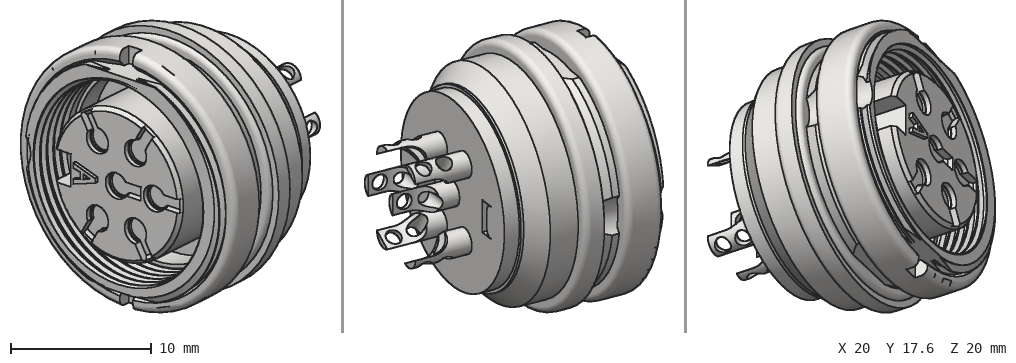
import cadquery as cq
import math


sleeve_radius = 9.0
relief_radius = 8.7
relief_start = 4.32
flat_height = 8.42
lip_start = 5.2
lip_radius = 9.45
lip_round = 0.38
flange_start = 5.6
flange_end = 7.18
flange_radius = 10.0
edge_round = 0.5
body_radius = 9.0
body_end = 9.45
shoulder_radius = 15.3 / 2
shoulder_start = 10.85
shoulder_end = 11.08
rear_radius = 14.8 / 2
rear_end = 12.3
key_groove_radius = 2.0
key_groove_depth = 0.8

thread_pitch = 0.75
outer_thread_root = 8.52
outer_thread_length = 1.1
bore_radius = 15.3 / 2
bore_thread_root = 7.95
bore_thread_length = 3.7
bore_length = 4.0
cavity_radius = 14.7 / 2
cavity_depth = 6.0

nut_start = 0.75
nut_end = 3.75
nut_radius = 10.0
nut_bore = 8.65
nut_mouth = 18.3 / 2
slot_width = 1.2
slot_depth = 1.0

insert_radius = 5.9
insert_face = -0.38
insert_bevel = 0.3
keyway_floor = -4.22
keyway_width = 2.55
key_tip = -4.9
key_round = 0.55

contact_circle = 3.5
contact_angles = (0, 60, 120, 240, 300)
socket_radius = 1.0
socket_step = 0.1
rim_depth = 0.4
socket_depth = 0.6
relief_slot_width = 1.05
relief_slot_top = 2.22
relief_slot_bottom = 1.95
pin_radius = 1.0
pin_end = 16.92
cup_wall_offset = 0.5
cup_round = 1.5
cup_straight_end = 15.45
wire_hole_diameter = 1.2
wire_hole_stations = (14.28, 15.95)

letter_height = 0.3


def revolve_profile(points):
    """Revolve (radius, y) points around the Y axis."""
    return cq.Workplane("XY").polyline(points).close().revolve(360, (0, 0), (0, 1))


def cylinder(radius, start, end, x=0.0, z=0.0):
    """Cylinder parallel to Y."""
    plane = cq.Plane((x, start, z), xDir=(1, 0, 0), normal=(0, 1, 0))
    return cq.Workplane(plane).circle(radius).extrude(end - start)


def block(x_range, y_range, z_range):
    """Box between the given limits."""
    ranges = (x_range, y_range, z_range)
    size = [high - low for low, high in ranges]
    corner = [low for low, high in ranges]
    return cq.Workplane("XY").box(*size, centered=False).translate(tuple(corner))


def thread_groove(crest, root, length, start_angle):
    """Helical V groove from one pitch ahead of the mouth to the given depth."""
    overlap = 0.05 if crest > root else -0.05
    half_root = 0.15 * thread_pitch
    half_crest = 0.46 * thread_pitch
    path = cq.Wire.makeHelix(thread_pitch, length + thread_pitch, root)
    groove = (
        cq.Workplane("XZ")
        .polyline([
            (root, -half_root),
            (crest + overlap, -half_crest),
            (crest + overlap, half_crest),
            (root, half_root),
        ])
        .close()
        .sweep(cq.Workplane(path), isFrenet=True)
    )
    along_y = groove.rotate((0, 0, 0), (1, 0, 0), -90)
    return along_y.rotate((0, 0, 0), (0, 1, 0), start_angle).translate((0, -thread_pitch, 0))


def make_sleeve():
    """Hollow front sleeve, threaded outside and inside."""
    sleeve = revolve_profile([
        (bore_radius, 0), (sleeve_radius, 0), (sleeve_radius, relief_start),
        (relief_radius, lip_start), (relief_radius, flange_start),
        (cavity_radius, flange_start), (cavity_radius, bore_length), (bore_radius, bore_length),
    ])
    flats = block(
        (-sleeve_radius, sleeve_radius), (0, flange_start), (-flat_height, flat_height)
    )
    groove_x = -sleeve_radius + key_groove_depth - key_groove_radius
    sleeve = sleeve.intersect(flats).cut(cylinder(key_groove_radius, 0, flange_start, groove_x))
    outer_groove = thread_groove(sleeve_radius, outer_thread_root, outer_thread_length, 90)
    inner_groove = thread_groove(bore_radius, bore_thread_root, bore_thread_length, 180)
    return sleeve.cut(outer_groove).cut(inner_groove)


def make_housing():
    lip = cylinder(lip_radius, lip_start, flange_start).faces("<Y").edges().fillet(lip_round)
    flange = cylinder(flange_radius, flange_start, flange_end)
    flange = flange.faces(">Y").edges().fillet(edge_round)
    body = revolve_profile([
        (0, flange_start), (body_radius, flange_start), (body_radius, body_end),
        (shoulder_radius, shoulder_start), (shoulder_radius, shoulder_end),
        (rear_radius, shoulder_end), (rear_radius, rear_end), (0, rear_end),
    ])
    cavity = cylinder(cavity_radius, lip_start, cavity_depth)
    return lip.union(flange).union(body).cut(cavity)


def make_nut():
    nut = cylinder(nut_radius, nut_start, nut_end).edges().fillet(edge_round)
    bore_bevel = nut_mouth - nut_bore
    bore = revolve_profile([
        (0, nut_start), (nut_mouth, nut_start), (nut_bore, nut_start + bore_bevel),
        (nut_bore, nut_end), (0, nut_end),
    ])
    slots = block(
        (-slot_width / 2, slot_width / 2),
        (nut_start, nut_start + slot_depth),
        (-nut_radius, nut_radius),
    )
    return nut.cut(bore).cut(slots)


def make_insert():
    return cylinder(insert_radius, insert_face, cavity_depth).faces("<Y").edges().chamfer(insert_bevel)


def make_keyway():
    """Slot through the insert and housing, part filled by a rounded key behind the cavity."""
    half_width = keyway_width / 2
    keyway = block(
        (-insert_radius, keyway_floor), (insert_face, rear_end), (-half_width, half_width)
    )
    key = block((-insert_radius, key_tip), (cavity_depth, rear_end), (-half_width, half_width))
    return keyway.cut(key.edges("|Y and >X").fillet(key_round))


def make_socket():
    """Contact opening at the origin, with its relief slot pointing along +X."""
    rim = insert_face + rim_depth
    bottom = insert_face + socket_depth
    bore = revolve_profile([
        (0, insert_face), (socket_radius, insert_face), (socket_radius, rim),
        (socket_radius - socket_step, rim), (socket_radius - socket_step, bottom), (0, bottom),
    ])
    slot = (
        cq.Workplane("XY")
        .polyline([
            (0, insert_face), (relief_slot_top, insert_face),
            (relief_slot_top, rim), (relief_slot_bottom, bottom), (0, bottom),
        ])
        .close()
        .extrude(relief_slot_width / 2, both=True)
    )
    return bore.union(slot)


def make_pin():
    """Solder pin at the origin; the wall of its open cup lies on the +X side."""
    pin = cylinder(pin_radius, rear_end - 0.2, pin_end)
    arc_offset = cup_round * math.sqrt(0.5)
    arc_center_x = cup_wall_offset - cup_round
    opening = (
        cq.Workplane("XY")
        .moveTo(cup_wall_offset, pin_end)
        .lineTo(cup_wall_offset, cup_straight_end)
        .threePointArc(
            (arc_center_x + arc_offset, cup_straight_end - arc_offset),
            (arc_center_x, cup_straight_end - cup_round),
        )
        .lineTo(arc_center_x, pin_end)
        .close()
        .extrude(pin_radius, both=True)
    )
    pin = pin.cut(opening)
    for station in wire_hole_stations:
        hole = cq.Workplane("YZ").center(station, 0).circle(wire_hole_diameter / 2)
        pin = pin.cut(hole.extrude(pin_radius, both=True))
    return pin


def at_contacts(shape):
    """Copies of a shape at the central contact and at each contact on the circle."""
    copies = [shape]
    for angle in contact_angles:
        copies.append(shape.translate((contact_circle, 0, 0)).rotate((0, 0, 0), (0, 1, 0), -angle))
    return copies


def make_letter():
    """Raised code letter A on the insert face, its apex toward +X."""
    foot_x, bar_x, apex_x = -3.75, -3.1, -1.72
    upper_edge = [(apex_x, 0.18), (foot_x, 0.82), (foot_x, 0.45), (bar_x, 0.28)]
    lower_edge = [(x, -z) for x, z in reversed(upper_edge)]
    counter = [(-2.78, 0.2), (-2.78, -0.2), (-2.25, 0)]
    plane = cq.Workplane("XZ", origin=(0, insert_face, 0))
    outline = plane.polyline(upper_edge + lower_edge).close().polyline(counter).close()
    return outline.extrude(letter_height)


body = make_housing().union(make_insert()).cut(make_keyway())
for socket in at_contacts(make_socket()):
    body = body.cut(socket)
for pin in at_contacts(make_pin()):
    body = body.union(pin)
body = body.union(make_letter()).union(make_nut())
result = body.union(make_sleeve(), clean=False)